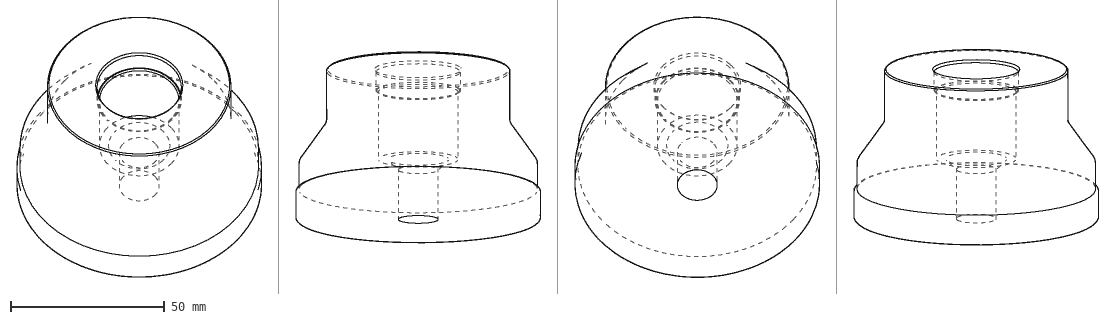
import cadquery as cq

total_height = 50.0
flange_diameter = 80
flange_height = 9.9
body_diameter = 78.0
cone_bottom_z = 19.2
cone_top_z = 32
neck_diameter = 60

flange_chamfer = 0.6
flange_edge_radius = 0.4
neck_chamfer = 0.5
shoulder_radius = 2.0
neck_root_radius = 3.05

mouth_diameter = 28.5
mouth_chamfer_depth = 0.9
upper_bore_diameter = 27.5
upper_bore_depth = 7.05
ledge_inner_diameter = 27.05
lower_bore_diameter = 26.0
bore_depth = 30.0

hole_diameter = 13.05
countersink_diameter = 20
countersink_depth = (countersink_diameter - hole_diameter) / 2


def edge_circle(diameter, z):
    """Select the circular edge of a given diameter at height z."""
    radius = diameter / 2
    tolerance = 0.01
    return cq.selectors.BoxSelector(
        (-radius - tolerance, -radius - tolerance, z - tolerance),
        (radius + tolerance, radius + tolerance, z + tolerance),
        boundingbox=True,
    )


def revolve_profile(points):
    """Turn a closed (radius, z) outline about the Z axis."""
    return cq.Workplane("XZ").polyline(points).close().revolve(360, (0, 0, 0), (0, 1, 0))


def make_flange():
    """Base disc whose rims are chamfered, then rounded along each chamfer edge."""
    flange = cq.Workplane("XY").circle(flange_diameter / 2).extrude(flange_height)
    flange = flange.edges("%CIRCLE").chamfer(flange_chamfer)
    return flange.edges("%CIRCLE").fillet(flange_edge_radius)


def make_body():
    """Solid body: wide cylinder, cone and neck, with blended cone ends.

    The wide cylinder starts halfway up the flange, clear of its rounded bottom rim.
    """
    bottom_z = flange_height / 2
    body = revolve_profile([
        (0, bottom_z),
        (body_diameter / 2, bottom_z),
        (body_diameter / 2, cone_bottom_z),
        (neck_diameter / 2, cone_top_z),
        (neck_diameter / 2, total_height),
        (0, total_height),
    ])
    body = body.edges(edge_circle(body_diameter, cone_bottom_z)).fillet(shoulder_radius)
    body = body.edges(edge_circle(neck_diameter, cone_top_z)).fillet(neck_root_radius)
    return body.faces(">Z").edges().chamfer(neck_chamfer)


def make_bore():
    """Material removed along the axis: chamfered mouth, two bores, countersink and hole."""
    ledge_z = total_height - upper_bore_depth
    ledge_chamfer = (ledge_inner_diameter - lower_bore_diameter) / 2
    floor_z = total_height - bore_depth
    return revolve_profile([
        (0, 0),
        (hole_diameter / 2, 0),
        (hole_diameter / 2, floor_z - countersink_depth),
        (countersink_diameter / 2, floor_z),
        (lower_bore_diameter / 2, floor_z),
        (lower_bore_diameter / 2, ledge_z - ledge_chamfer),
        (ledge_inner_diameter / 2, ledge_z),
        (upper_bore_diameter / 2, ledge_z),
        (upper_bore_diameter / 2, total_height - mouth_chamfer_depth),
        (mouth_diameter / 2, total_height),
        (0, total_height),
    ])


result = make_flange().union(make_body()).cut(make_bore())